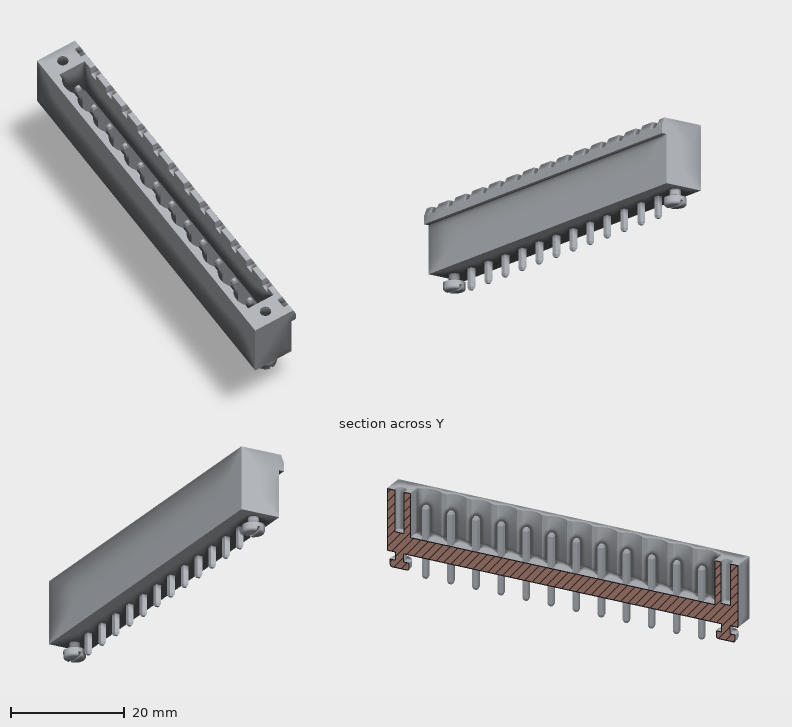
import cadquery as cq

pin_count = 12
pitch = 5.0

body_length = 70.0
body_height = 12.0
front_y = -3.8
body_depth = 7.6
latch_overhang = 1.0
latch_height = 3.0
latch_bevel_height = 1.5
latch_bevel_depth = 0.6

cavity_floor_z = 3.5
cavity_length = 60.6
cavity_front_wall = 1.6
cavity_back_wall = 0.65
scallop_chord = 3.9
scallop_sag = 0.65

slot_top_width = 2.0
slot_floor_width = 1.5
slot_depth = 1.5

pin_side = 1.0
pin_tip_side = 0.6
pin_tip_length = 0.5
pin_tail_length = 4.0
pin_top_z = 10.0

screw_diameter = 2.0
screw_head_diameter = 4.0
screw_head_height = 1.5
screw_head_gap = 1.5
screw_head_fillet = 0.5
driver_slot_width = 0.6
driver_slot_depth = 0.75
screw_hole_depth = 8.0

back_y = front_y + body_depth
latch_y = back_y + latch_overhang
cavity_front_y = front_y + cavity_front_wall
cavity_back_y = back_y - cavity_back_wall
pin_xs = [(i - (pin_count - 1) / 2) * pitch for i in range(pin_count)]
screw_x = pin_xs[-1] + pitch
screw_xs = [-screw_x, screw_x]


def make_body():
    """Housing with the bevelled latch rail overhanging the back, as one YZ profile."""
    profile = [
        (front_y, 0),
        (back_y, 0),
        (back_y, body_height - latch_height),
        (latch_y, body_height - latch_height),
        (latch_y, body_height - latch_bevel_height),
        (latch_y - latch_bevel_depth, body_height),
        (front_y, body_height),
    ]
    return cq.Workplane("YZ").polyline(profile).close().extrude(body_length / 2, both=True)


def make_cavity():
    """Plug cavity, open at the top, whose front wall is scalloped at every pin."""
    half_length = cavity_length / 2
    outline = cq.Workplane("XY", origin=(0, 0, cavity_floor_z))
    outline = outline.moveTo(-half_length, cavity_back_y).lineTo(-half_length, cavity_front_y)
    for x in pin_xs:
        outline = outline.lineTo(x - scallop_chord / 2, cavity_front_y)
        outline = outline.threePointArc(
            (x, cavity_front_y - scallop_sag),
            (x + scallop_chord / 2, cavity_front_y),
        )
    outline = outline.lineTo(half_length, cavity_front_y).lineTo(half_length, cavity_back_y)
    return outline.close().extrude(body_height - cavity_floor_z)


def make_coding_slot(x):
    """Tapered slot cut down through the back wall and latch rail."""
    profile = [
        (x - slot_top_width / 2, body_height),
        (x - slot_floor_width / 2, body_height - slot_depth),
        (x + slot_floor_width / 2, body_height - slot_depth),
        (x + slot_top_width / 2, body_height),
    ]
    slot = cq.Workplane("XZ", origin=(0, cavity_back_y, 0)).polyline(profile).close()
    return slot.extrude(cavity_back_y - latch_y)


def make_pin(x):
    """Square contact pin with a tapered tip at both ends."""
    shank_bottom = pin_tip_length - pin_tail_length
    shank_top = pin_top_z - pin_tip_length
    shank = cq.Workplane("XY", origin=(x, 0, shank_bottom)).rect(pin_side, pin_side)
    pin = shank.extrude(shank_top - shank_bottom)
    for base_z, tip_z in ((shank_bottom, -pin_tail_length), (shank_top, pin_top_z)):
        tip = cq.Workplane("XY", origin=(x, 0, base_z)).rect(pin_side, pin_side)
        tip = tip.workplane(offset=tip_z - base_z).rect(pin_tip_side, pin_tip_side).loft()
        pin = pin.union(tip)
    return pin


def make_screw(x):
    """Mounting screw under the body: plain stem and rounded, slotted head."""
    head_bottom = -screw_head_gap - screw_head_height
    head = cq.Workplane("XY", origin=(x, 0, head_bottom)).circle(screw_head_diameter / 2)
    head = head.extrude(screw_head_height).faces("<Z").edges().fillet(screw_head_fillet)
    driver_slot = cq.Workplane("XY", origin=(x, 0, head_bottom)).rect(screw_head_diameter, driver_slot_width)
    head = head.cut(driver_slot.extrude(driver_slot_depth))
    stem = cq.Workplane("XY", origin=(x, 0, -screw_head_gap)).circle(screw_diameter / 2)
    return head.union(stem.extrude(screw_head_gap))


def make_screw_hole(x):
    """Blind hole in the top face above a mounting screw."""
    hole = cq.Workplane("XY", origin=(x, 0, body_height)).circle(screw_diameter / 2)
    return hole.extrude(-screw_hole_depth)


result = make_body().cut(make_cavity())
for x in pin_xs + screw_xs:
    result = result.cut(make_coding_slot(x))
for x in pin_xs:
    result = result.union(make_pin(x))
for x in screw_xs:
    result = result.cut(make_screw_hole(x)).union(make_screw(x))